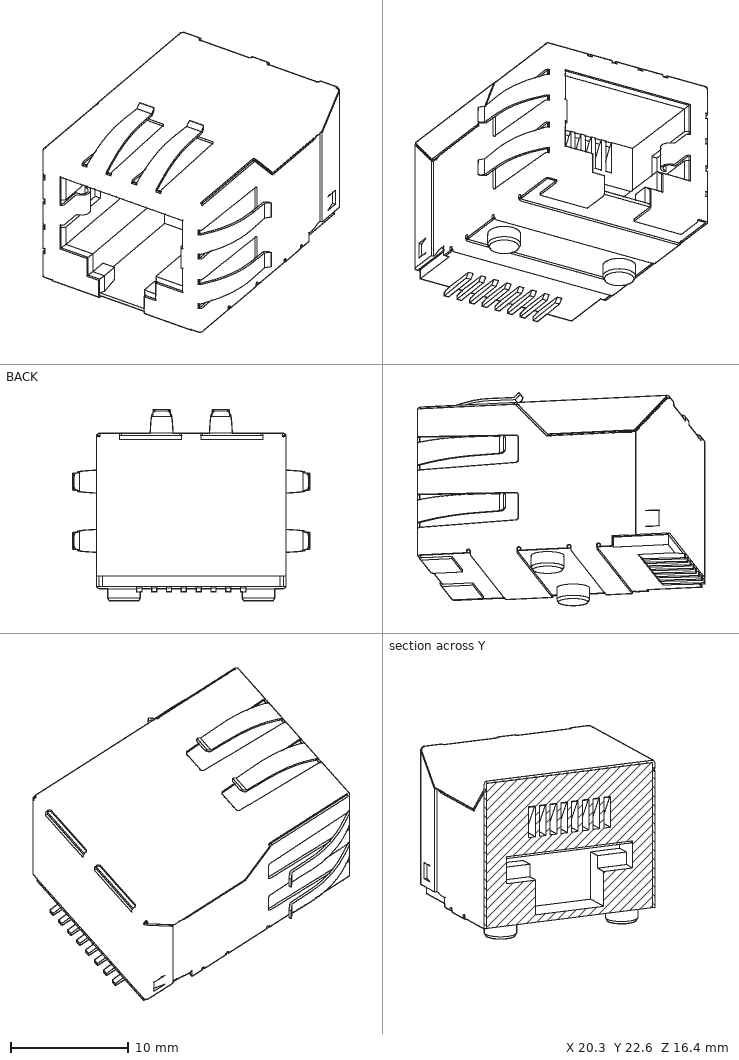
import cadquery as cq
import math


EIGHTH_TURN = math.pi / 4

width = 16.2
length = 21.95
height = 13.08
sheet = 0.2
bend_radius = 0.3
half_width = width / 2
inner_half_width = half_width - sheet
inner_height = height - sheet
housing_length = length - 2 * sheet
lower_edge = 0.88

opening_half_width = 6.23
opening_top = 10.82
shoulder_half_width = 3.5
shoulder_z = 3.48
keyway_half_width = 2.33
keyway_z = 1.67
lead_in = 0.3

cavity_half_width = opening_half_width - lead_in
cavity_top = opening_top - lead_in
ledge_half_width = shoulder_half_width - lead_in
ledge_z = shoulder_z + lead_in
rib_half_width = keyway_half_width - lead_in
rib_z = keyway_z + lead_in
rib_end = 2.08
floor_z = 0.7
ramp_start_z = 0.3
ramp_end = rib_end
comb_front = 9.04
comb_bottom = 5.92
comb_chamfer = 0.4
step_front = 10.4
step_z = 4.88
cavity_rear = 11.75

contact_count = 8
contact_pitch = 1.02
contact_slot_width = 0.59
contact_slot_bottom = 7.61
tail_pitch = 1.27
tail_width = 0.45
tail_tip = 22.6

peg_diameter = 2.8
peg_x = 5.74
peg_y = 10.9
peg_length = 1.25

spring_root_depth = 0.3
spring_root_angle = 30
spring_arc_radius = 9.04
spring_flat_start = 5.47
spring_flat_end = 7.52
spring_flat_height = 1.63
spring_height = 2.03
spring_root_width = 1.99
spring_tip_width = 1.47
spring_corner = 0.3
window_root_width = 2.94
window_end_width = 2.4
window_corner = 0.23
window_length = 8.8
spring_spacing = 5.05
side_spring_mid_z = 6.42

ear_bottom = 5.92
ear_top = 7.95
ear_slot_clearance = 0.38
ear_slot_end = 5.87
ear_slot_depth = 0.52
bump_y = 2.94
bump_radius = 0.77
bump_root_radius = 0.18

seam_width = 0.15
seam_z = 10.03
seam_front_y = 11.32
seam_rear_y = 18.95
seam_front_top_y = 8.45
seam_rear_top_y = 21.95
joggle_start = 17.48
joggle_end = 19.02
joggle_depth = 0.23
flap_skirt_start = 16.99
foot_inset = 0.55

front_tab_length = 2.85
front_tab_half_width = 7.05
straps = ((4.63, 8.7), (13.37, 15.63))
relief_diameter = 0.32
relief_height = 0.14


def block(x0, x1, y0, y1, z0, z1):
    """Axis-aligned block between two corners."""
    return cq.Workplane("XY").box(x1 - x0, y1 - y0, z1 - z0, centered=False).translate((x0, y0, z0))


def symmetric_block(half, y0, y1, z0, z1):
    """Block centred on the YZ plane."""
    return block(-half, half, y0, y1, z0, z1)


def mirrored(shape):
    """The shape together with its mirror image across the YZ plane."""
    return shape.union(shape.mirror("YZ"))


def prism_along_x(profile, half):
    """Closed YZ polygon extruded symmetrically along X."""
    return cq.Workplane("YZ").polyline(profile).close().extrude(half, both=True)


def opening_outline(inset, bottom, y):
    """Stepped plug outline on the plane at the given Y, drawn in by an inset except at its bottom."""
    right = [
        (keyway_half_width - inset, bottom),
        (keyway_half_width - inset, keyway_z + inset),
        (shoulder_half_width - inset, keyway_z + inset),
        (shoulder_half_width - inset, shoulder_z + inset),
        (opening_half_width - inset, shoulder_z + inset),
        (opening_half_width - inset, opening_top - inset),
    ]
    left = [(-x, z) for x, z in reversed(right)]
    return cq.Workplane("XZ", origin=(0, y, 0)).polyline(right + left).close()



def plug_cavity():
    cavity = symmetric_block(cavity_half_width, sheet, comb_front, ledge_z, cavity_top)
    behind_comb = [
        (comb_front, ledge_z),
        (cavity_rear, ledge_z),
        (cavity_rear, comb_bottom),
        (comb_front + comb_chamfer, comb_bottom),
        (comb_front, comb_bottom + comb_chamfer),
    ]
    corner_step = block(ledge_half_width, cavity_half_width, step_front, cavity_rear, ledge_z, step_z)
    rear_room = prism_along_x(behind_comb, cavity_half_width).cut(mirrored(corner_step))
    latch_room = symmetric_block(ledge_half_width, rib_end, cavity_rear, floor_z, ledge_z + lead_in)
    rib_gap = symmetric_block(ledge_half_width, sheet, rib_end, rib_z, ledge_z)
    keyway = symmetric_block(rib_half_width, sheet, rib_end, floor_z, rib_z)
    ramp = prism_along_x([(sheet, ramp_start_z), (ramp_end, floor_z), (sheet, floor_z)], rib_half_width)
    ramp_rise = (floor_z - ramp_start_z) * lead_in / (ramp_end - sheet)
    lead_wires = [
        opening_outline(0, ramp_start_z, sheet).val(),
        opening_outline(lead_in, ramp_start_z + ramp_rise, sheet + lead_in).val(),
    ]
    lead = cq.Workplane(cq.Solid.makeLoft(lead_wires, True))
    rooms = (rear_room, latch_room, rib_gap, keyway, ramp, lead)
    for room in rooms:
        cavity = cavity.union(room)
    return cavity


def contact_slots():
    """Comb slots; each floor is a contact that bends over at the top and slopes back to the slot bottom."""
    top_depth = 0.1
    bend_drop = 0.3
    bend_depth = 0.32
    bend_mid = (comb_front + 0.15, cavity_top - 0.18)
    bottom_depth = 1.97
    slot = (
        cq.Workplane("YZ")
        .moveTo(comb_front, cavity_top)
        .lineTo(comb_front + top_depth, cavity_top)
        .threePointArc(bend_mid, (comb_front + bend_depth, cavity_top - bend_drop))
        .lineTo(comb_front + bottom_depth, contact_slot_bottom)
        .lineTo(comb_front, contact_slot_bottom)
        .close()
        .extrude(contact_slot_width / 2, both=True)
    )
    slots = cq.Workplane("XY")
    for i in range(contact_count):
        slots = slots.add(slot.translate(((i - (contact_count - 1) / 2) * contact_pitch, 0, 0)))
    return slots.combine()


def contact_tails():
    """Solder tails under the rear edge, drooping slightly towards their tips."""
    root_start = 18.57
    root_bevel = 0.38
    tip_top = -0.14
    tip_bottom = -0.47
    profile = [
        (root_start, 0),
        (housing_length + sheet, 0),
        (tail_tip, tip_top),
        (tail_tip, tip_bottom),
        (root_start + root_bevel, -root_bevel),
    ]
    tail = prism_along_x(profile, tail_width / 2)
    tails = cq.Workplane("XY")
    for i in range(contact_count):
        tails = tails.add(tail.translate(((i - (contact_count - 1) / 2) * tail_pitch, 0, 0)))
    return tails.combine()


def locating_pegs():
    chamfer_height = 0.25
    chamfer_inset = 0.14
    return (
        cq.Workplane("XY")
        .pushPoints([(-peg_x, peg_y), (peg_x, peg_y)])
        .circle(peg_diameter / 2)
        .extrude(-peg_length)
        .faces("<Z")
        .edges()
        .chamfer(chamfer_height, chamfer_inset)
    )


def ear_slots():
    return mirrored(
        block(
            cavity_half_width - lead_in,
            cavity_half_width + ear_slot_depth,
            sheet,
            ear_slot_end,
            ear_bottom - ear_slot_clearance,
            ear_top + ear_slot_clearance,
        )
    )


def flap_backing():
    """Inner sheet layer that the rear flaps overlap, one sheet thick below each side seam."""
    return mirrored(
        block(inner_half_width - sheet, inner_half_width, joggle_start, length - sheet, lower_edge, seam_z)
    )


def rear_foot_recesses():
    """Steps that narrow the foot of the housing below the rear flaps."""
    return mirrored(
        block(half_width - foot_inset, half_width, flap_skirt_start, length - sheet, 0, lower_edge)
    )


def make_housing():
    body = symmetric_block(inner_half_width, sheet, sheet + housing_length, 0, inner_height)
    recesses = (plug_cavity(), contact_slots(), ear_slots(), flap_backing(), rear_foot_recesses())
    for recess in recesses:
        body = body.cut(recess)
    return body.union(locating_pegs()).union(contact_tails())



def tapered_plan(root_width, end_width, end_y, corner, z0, z1):
    """Finger or window outline seen square to its face, with rounded far corners."""
    outline = [
        (-root_width / 2, 0),
        (root_width / 2, 0),
        (end_width / 2, end_y),
        (-end_width / 2, end_y),
    ]
    plan = cq.Workplane("XY").workplane(offset=z0).polyline(outline).close().extrude(z1 - z0)
    return plan.edges("|Z and >Y").fillet(corner)


def spring_side(depth):
    """Points along the finger, root to tip, at a depth below its outer surface (height 0 is the face)."""
    slope = math.radians(spring_root_angle)
    bend = bend_radius - depth
    arc = spring_arc_radius - depth
    arc_z = spring_flat_height - spring_arc_radius
    kink = spring_flat_end + depth * math.tan(EIGHTH_TURN / 2)
    rise = spring_height - spring_flat_height
    droop = depth * math.sin(EIGHTH_TURN)

    def on_bend(angle):
        return (bend_radius - bend * math.cos(angle), bend * math.sin(angle) - spring_root_depth)

    def on_arc(angle):
        return (spring_flat_start - arc * math.sin(angle), arc_z + arc * math.cos(angle))

    turn = math.pi / 2 - slope
    return {
        "root": on_bend(0),
        "bend_mid": on_bend(turn / 2),
        "bend_end": on_bend(turn),
        "arc_start": on_arc(slope),
        "arc_mid": on_arc(slope / 2),
        "flat_start": on_arc(0),
        "kink": (kink, spring_flat_height - depth),
        "tip": (spring_flat_end + rise + droop, spring_height - droop),
    }


def make_spring():
    """One finger rising from a face at Z = 0, rooted in the front panel."""
    top = spring_side(0)
    under = spring_side(sheet)
    strip = (
        cq.Workplane("YZ")
        .moveTo(*top["root"])
        .threePointArc(top["bend_mid"], top["bend_end"])
        .lineTo(*top["arc_start"])
        .threePointArc(top["arc_mid"], top["flat_start"])
        .lineTo(*top["kink"])
        .lineTo(*top["tip"])
        .lineTo(*under["tip"])
        .lineTo(*under["kink"])
        .lineTo(*under["flat_start"])
        .threePointArc(under["arc_mid"], under["arc_start"])
        .lineTo(*under["bend_end"])
        .threePointArc(under["bend_mid"], under["root"])
        .close()
        .extrude(spring_root_width, both=True)
    )
    tip_y = under["tip"][0]
    plan = tapered_plan(
        spring_root_width, spring_tip_width, tip_y, spring_corner, -spring_root_depth, spring_height
    )
    housing_space = symmetric_block(spring_root_width, sheet, tip_y, -spring_root_depth, -sheet)
    return strip.intersect(plan).cut(housing_space)


def make_window():
    return tapered_plan(
        window_root_width, window_end_width, window_length, window_corner, -spring_root_depth, sheet
    )


def on_sprung_faces(shape):
    """Copies of a shape made on Z = 0, two on the top face and two on each side face."""
    copies = cq.Workplane("XY")
    for offset in (-spring_spacing / 2, spring_spacing / 2):
        copies = copies.add(shape.translate((offset, 0, height)))
        for side in (-1, 1):
            turned = shape.rotate((0, 0, 0), (0, 1, 0), side * 90)
            copies = copies.add(turned.translate((side * half_width, 0, side_spring_mid_z + offset)))
    return copies


def underside_cutout():
    """Everything cut from the shield's bottom layer, leaving the front tabs and the straps."""
    cutout = symmetric_block(half_width, 0, length, -sheet, 0)
    front_tab = block(keyway_half_width, front_tab_half_width, 0, front_tab_length, -sheet, 0)
    cutout = cutout.cut(mirrored(front_tab))
    for start, end in straps:
        cutout = cutout.cut(symmetric_block(half_width, start, end, -sheet, 0))
    radius = relief_diameter / 2
    for start, end in straps:
        for y in (start - radius, end + radius):
            relief = cq.Workplane("YZ").center(y, relief_height).circle(radius).extrude(half_width, both=True)
            cutout = cutout.union(relief)
    return cutout


def side_seams():
    """Gaps between the folded-down top flap and the side panels."""
    h = seam_width / 2
    diagonal = seam_width * math.tan(EIGHTH_TURN / 2) / 2
    reach = math.sqrt(2) * h
    profile = [
        (seam_rear_top_y - reach, height),
        (seam_rear_y - diagonal, seam_z + h),
        (seam_front_y + diagonal, seam_z + h),
        (seam_front_top_y + reach, height),
        (seam_front_top_y - reach, height),
        (seam_front_y - diagonal, seam_z - h),
        (seam_rear_y + diagonal, seam_z - h),
        (seam_rear_top_y + reach, height),
    ]
    seam = cq.Workplane("YZ", origin=(inner_half_width, 0, 0)).polyline(profile).close().extrude(sheet)
    return mirrored(seam)


def joggles():
    """Grooves where each side panel steps inwards, by an S of two arcs, to pass under the rear flap."""
    half_run = (joggle_end - joggle_start) / 2
    half_drop = joggle_depth / 2
    radius = (half_run ** 2 + half_drop ** 2) / (2 * half_drop)
    half_angle = math.asin(half_run / radius) / 2
    mid_run = radius * math.sin(half_angle)
    mid_drop = radius * (1 - math.cos(half_angle))
    bottom = half_width - joggle_depth
    groove = (
        cq.Workplane("XY")
        .workplane(offset=lower_edge)
        .moveTo(half_width, joggle_start)
        .threePointArc(
            (half_width - mid_drop, joggle_start + mid_run),
            (half_width - half_drop, joggle_start + half_run),
        )
        .threePointArc((bottom + mid_drop, joggle_end - mid_run), (bottom, joggle_end))
        .lineTo(half_width, joggle_end)
        .close()
        .extrude(seam_z - lower_edge)
    )
    return mirrored(groove)


def latch_windows():
    """Small windows in the rear flaps, with a floor that slopes deeper towards the rear."""
    start, knee, end = 19.9, 20.83, 21.08
    bottom, top = 1.55, 2.95
    knee_depth, end_depth = 0.23, 0.27
    window = (
        cq.Workplane("XY")
        .workplane(offset=bottom)
        .polyline(
            [
                (half_width, start),
                (half_width - knee_depth, knee),
                (half_width - end_depth, end),
                (half_width, end),
            ]
        )
        .close()
        .extrude(top - bottom)
    )
    return mirrored(window)


def rear_slots():
    """Openings in the top rear bend, leaving it joined at the middle and both ends."""
    inner_x, outer_x = 0.81, 6.12
    front_y = 21.45
    depth = 0.52
    corner = 0.15
    slot = block(inner_x, outer_x, front_y, length, height - depth, height)
    return mirrored(slot.edges("|Z and <Y").chamfer(corner))


def rear_corner_reliefs():
    """Corner cut-outs where the top, side and rear bends meet."""
    return mirrored(
        block(
            half_width - bend_radius, half_width, length - bend_radius, length, height - bend_radius, height
        )
    )


def rear_skirt_cutout():
    """The shield stops short of the underside around the rear."""
    return symmetric_block(half_width, flap_skirt_start, length, -sheet, lower_edge)


def top_corner_notches():
    """Square steps where the top sheet butts against the front part of the side panels."""
    return mirrored(
        block(inner_half_width, half_width, bend_radius, seam_front_top_y, inner_height, height)
    )


def grounding_ears():
    """Ears bent in from the front panel into the opening, each ending in a half-round spring bump."""
    inner_bend = lead_in - sheet
    face = cavity_half_width
    ear_height = ear_top - ear_bottom
    bump_inner_start = bump_y - bump_radius + sheet
    diagonal = math.sin(EIGHTH_TURN)
    strip = (
        cq.Workplane("XY")
        .workplane(offset=ear_bottom)
        .moveTo(opening_half_width, 0)
        .threePointArc(
            (opening_half_width - lead_in * diagonal, lead_in * (1 - diagonal)), (face, lead_in)
        )
        .lineTo(face, bump_inner_start)
        .lineTo(face + sheet, bump_inner_start)
        .lineTo(face + sheet, lead_in)
        .threePointArc(
            (opening_half_width - inner_bend * diagonal, lead_in - inner_bend * diagonal),
            (opening_half_width, sheet),
        )
        .close()
        .extrude(ear_height)
    )
    ring = (
        cq.Workplane("XY", origin=(face, bump_y, ear_bottom))
        .circle(bump_radius)
        .circle(bump_radius - sheet)
        .extrude(ear_height)
    )
    wall_side = block(face, face + bump_radius, 0, bump_y + bump_radius, ear_bottom, ear_top)
    root = (face, bump_y - bump_radius, ear_bottom + ear_height / 2)
    ear = strip.union(ring.cut(wall_side))
    ear = ear.edges(cq.NearestToPointSelector(root)).fillet(bump_root_radius)
    return mirrored(ear)


def make_shield():
    shell = symmetric_block(half_width, 0, length, -sheet, height).edges().fillet(bend_radius)
    shell = shell.cut(symmetric_block(inner_half_width, sheet, length - sheet, 0, inner_height))
    shell = shell.union(flap_backing())
    opening = opening_outline(0, -sheet, 0).extrude(-sheet)
    cutters = (
        opening,
        underside_cutout(),
        rear_skirt_cutout(),
        top_corner_notches(),
        side_seams(),
        joggles(),
        latch_windows(),
        rear_slots(),
        rear_corner_reliefs(),
    )
    for cutter in cutters:
        shell = shell.cut(cutter)
    for window in on_sprung_faces(make_window()).vals():
        shell = shell.cut(cq.Workplane(window))
    for spring in on_sprung_faces(make_spring()).vals():
        shell = shell.union(cq.Workplane(spring))
    return shell.union(grounding_ears())


housing = make_housing()
shield = make_shield()

result = cq.Compound.makeCompound([housing.solids().val(), shield.solids().val()])